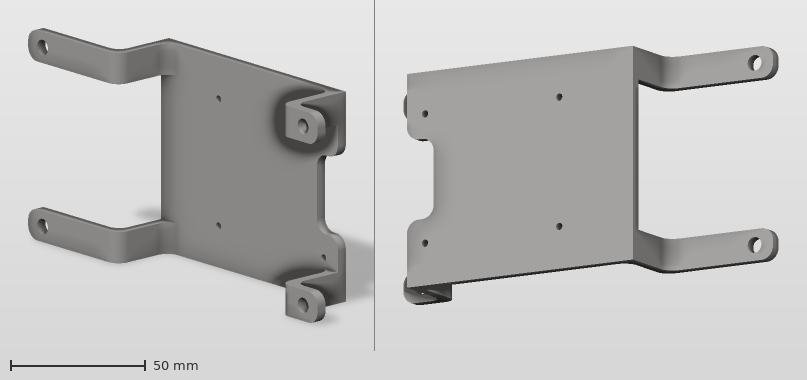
import cadquery as cq

length = 160.1
depth = 29.3
height = 81.0

sheet_thickness = 4.0
corner_radius = 5.0

margin = 1.6

plate_left = -34.6
plate_right = 63.2
notch_depth = 11.5
notch_height = 30.4

strip_width = 12.0
strip_centre_z = (height - strip_width) / 2

foot_hole_diameter = 6.0
foot_hole_inset = 8.0
plate_hole_diameter = 2.7
plate_hole_xs = (-2.7, 55.4)
plate_hole_z = 24.5


def make_plate():
    """Flat back plate with a rounded notch in its right edge."""
    notch_floor = plate_right - notch_depth
    half_height = height / 2
    half_notch = notch_height / 2
    outline = [
        (plate_left, -half_height),
        (plate_right, -half_height),
        (plate_right, -half_notch),
        (notch_floor, -half_notch),
        (notch_floor, half_notch),
        (plate_right, half_notch),
        (plate_right, half_height),
        (plate_left, half_height),
    ]
    plate = cq.Workplane("XZ", origin=(0, depth, 0)).polyline(outline).close().extrude(sheet_thickness)
    notch_region = cq.selectors.BoxSelector(
        (notch_floor - margin, 0, -half_notch - margin),
        (plate_right + margin, depth, half_notch + margin),
    )
    return plate.edges("|Y").edges(notch_region).fillet(corner_radius)


def make_strip(centre_z):
    """Bent strip: left foot, left leg, back, right leg and right foot."""
    half_length = length / 2
    inner_left = plate_left + sheet_thickness
    inner_right = plate_right - sheet_thickness
    back_face = depth - sheet_thickness
    profile = [
        (-half_length, 0),
        (inner_left, 0),
        (inner_left, back_face),
        (inner_right, back_face),
        (inner_right, 0),
        (half_length, 0),
        (half_length, sheet_thickness),
        (plate_right, sheet_thickness),
        (plate_right, depth),
        (plate_left, depth),
        (plate_left, sheet_thickness),
        (-half_length, sheet_thickness),
    ]
    strip = cq.Workplane("XY").polyline(profile).close().extrude(strip_width / 2, both=True)

    bends = cq.selectors.BoxSelector(
        (plate_left - margin, -margin, -strip_width),
        (plate_right + margin, depth - margin, strip_width),
    )
    strip = strip.edges("|Z").edges(bends).fillet(corner_radius)

    strip = strip.faces("<X or >X").edges("|Y").fillet(corner_radius)
    return strip.translate((0, 0, centre_z))


def make_holes(points, diameter):
    """Cylinders along Y through the whole depth at the given (x, z) points."""
    start = cq.Workplane("XZ", origin=(0, depth, 0))
    return start.pushPoints(points).circle(diameter / 2).extrude(depth)


foot_hole_x = length / 2 - foot_hole_inset
foot_hole_points = [
    (x, z) for x in (-foot_hole_x, foot_hole_x) for z in (-strip_centre_z, strip_centre_z)
]
plate_hole_points = [(x, z) for x in plate_hole_xs for z in (-plate_hole_z, plate_hole_z)]

result = make_plate()
for side in (-1, 1):
    result = result.union(make_strip(side * strip_centre_z))
result = result.cut(make_holes(foot_hole_points, foot_hole_diameter))
result = result.cut(make_holes(plate_hole_points, plate_hole_diameter))